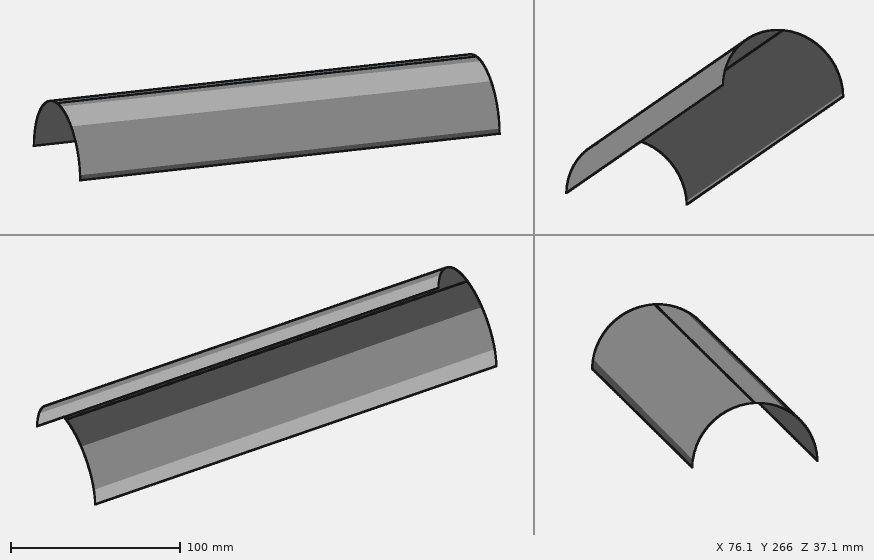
import cadquery as cq
import math

inner_radius = 38.0
thickness = 0.05
length = 266.0
bottom_trim = 0.94
seam_gap = 0.1

outer_radius = inner_radius + thickness


def half_shell(side):
    """Thin quarter-tube shell; side is -1 or +1 along X."""
    seam = side * seam_gap / 2

    def at_seam(radius):
        return (seam, math.sqrt(radius**2 - seam**2))

    def at_bottom(radius):
        return (side * math.sqrt(radius**2 - bottom_trim**2), bottom_trim)

    def at_middle(radius):
        return (side * radius * math.sqrt(0.5), radius * math.sqrt(0.5))

    return (
        cq.Workplane("XZ", origin=(0, length / 2, 0))
        .moveTo(*at_bottom(outer_radius))
        .threePointArc(at_middle(outer_radius), at_seam(outer_radius))
        .lineTo(*at_seam(inner_radius))
        .threePointArc(at_middle(inner_radius), at_bottom(inner_radius))
        .close()
        .extrude(length)
    )


result = cq.Compound.makeCompound([half_shell(side).val() for side in (-1, 1)])